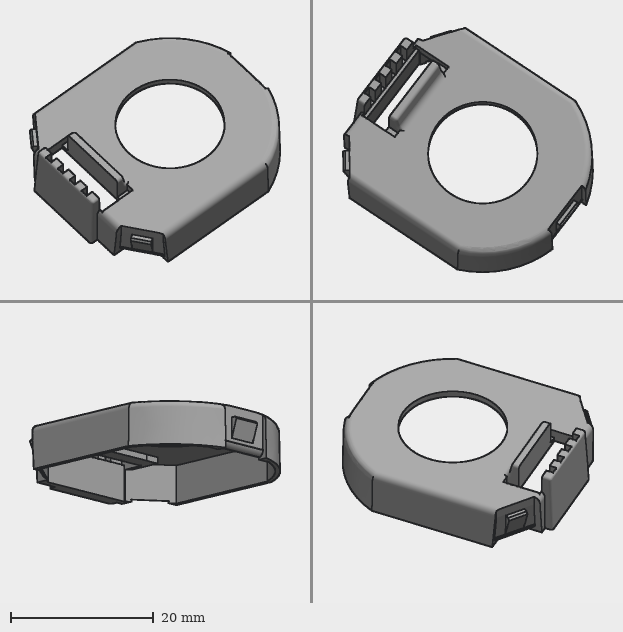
import cadquery as cq
import math

half_width = 14.3
arc_radius = 15.45
front_y = -17.7
body_height = 6.5
wall_draft = 1.3
top_round = 1.05
wall = 0.7
plate_thickness = 1.0
hole_diameter = 15.3
front_wall_inner_y = -16.5
clear = 30.0

flap_top_z = 5.1
side_end_y_top = -13.1
side_end_y_bottom = -12.72
flap_side_x = 13.7
flap_front_y = -16.65
front_end_x_top = 8.85
front_end_x_bottom = 8.5
flap_thickness = 0.9
flap_lean = 0.2

lip_reach = 0.12
lip_top_z = 1.27
lip_base_z = 0.32
lip_depth = 0.55
lip_bulge = 0.1

back_flap_y = 14.17
back_flap_half_width = 4.05

wedge_bottom_z = lip_top_z
wedge_bottom_reach = -flap_lean
wedge_edge_z = 4.6
wedge_top_z = 4.9
wedge_reach = 0.9
wedge_top_reach = 0.6
corner_wedge_width = 2.95
back_wedge_width = 4.2
wedge_root = 0.6

pin_pitch = 2.54
connector_x = -pin_pitch / 2
slot_half_width = 6.5
slot_rear_y = -13.25
recess_rear_y = -11.4
recess_floor_z = 5.25
frame_bottom_z = 4.6
frame_margin = 0.7

shroud_height = 9.0
shroud_rear_y = -17.05
shroud_front_y_bottom = -18.87
shroud_front_y_top = -18.4
shroud_half_width_bottom = 6.2
shroud_half_width_top = 5.87
shroud_round = 0.4
groove_count = 4
groove_width = 1.1
groove_depth = 1.05
groove_floor_z = 4.6

rear_wall_half_width = 5.33
rear_wall_top_y = -12.1
rear_wall_root_y = -11.65
rear_wall_root_z = 7.2
rear_wall_toe_y = -10.65
rear_wall_round = 0.5

corner_dx = flap_side_x - front_end_x_top
corner_dy = side_end_y_top - flap_front_y
corner_angle = math.degrees(math.atan2(corner_dy, corner_dx))
corner_mid_x = (flap_side_x + front_end_x_top) / 2
corner_mid_y = (side_end_y_top + flap_front_y) / 2


def block(x0, x1, y0, y1, z0, z1):
    """Box given by its limits along each axis."""
    return cq.Workplane("XY").box(x1 - x0, y1 - y0, z1 - z0, centered=False).translate((x0, y0, z0))


def mirrored(shape):
    """Shape together with its mirror image across the YZ plane."""
    return shape.union(shape.mirror("YZ"))


def arched_outline(half_x, radius, low_y):
    """Straight sides and front, closed at the back by an arc about the Z axis."""
    corner_y = math.sqrt(radius**2 - half_x**2)
    return (
        cq.Workplane("XY")
        .moveTo(-half_x, low_y)
        .lineTo(half_x, low_y)
        .lineTo(half_x, corner_y)
        .threePointArc((0, radius), (-half_x, corner_y))
        .close()
    )


def on_right_corner(shape):
    """Move a shape made at the origin, facing +Y, onto the right front corner flap."""
    return shape.rotate((0, 0, 0), (0, 0, 1), 180 + corner_angle).translate((corner_mid_x, corner_mid_y, 0))


def make_shell():
    """Drafted cap with a rounded top edge, hollow from below."""
    shell = arched_outline(half_width, arc_radius, front_y).extrude(body_height, taper=wall_draft)
    shell = shell.faces(">Z").edges().fillet(top_round)
    cavity_height = body_height - plate_thickness
    cavity = arched_outline(half_width - wall, arc_radius - wall, front_wall_inner_y).extrude(cavity_height)
    corner_fill = cq.Workplane("XY").box(clear, clear, cavity_height, centered=(True, False, False))
    corner_fill = on_right_corner(corner_fill.translate((0, -flap_thickness, 0)))
    back_fill = block(-clear, clear, back_flap_y - wall, clear, 0, cavity_height)
    return shell.cut(cavity.cut(mirrored(corner_fill)).cut(back_fill))


def corner_points(side_end_y, front_end_x):
    """Corner region outside a flap, between the ends of the side and front walls."""
    return [
        (clear, side_end_y),
        (flap_side_x, side_end_y),
        (front_end_x, flap_front_y),
        (front_end_x, -clear),
        (clear, -clear),
    ]


def make_corner_cut():
    """Right front corner: vertical above the flap, with wall ends receding below."""
    top_points = corner_points(side_end_y_top, front_end_x_top)
    upper = cq.Workplane("XY").workplane(offset=flap_top_z).polyline(top_points).close().extrude(body_height)
    lower = (
        cq.Workplane("XY")
        .polyline(corner_points(side_end_y_bottom, front_end_x_bottom))
        .close()
        .workplane(offset=flap_top_z)
        .polyline(top_points)
        .close()
        .loft(ruled=True)
    )
    return upper.union(lower)


def gap_section(height, side_end_y, front_end_x):
    """Rectangle at a height, bounded by the ends of the side and front walls."""
    middle_x = (flap_side_x + front_end_x) / 2
    middle_y = (side_end_y - clear) / 2
    plane = cq.Workplane("XY").workplane(offset=height).center(middle_x, middle_y)
    return plane.rect(flap_side_x - front_end_x, side_end_y + clear).wires().val()


def make_corner_gap():
    """Space between the receding ends of the side and front walls, below the flap top."""
    bottom = gap_section(0, side_end_y_bottom, front_end_x_bottom)
    top = gap_section(flap_top_z, side_end_y_top, front_end_x_top)
    return cq.Workplane("XY").newObject([cq.Solid.makeLoft([bottom, top], True)])


def make_lip():
    """Lip along the foot of a flap facing +Y, rounded from its outer edge to its base."""
    bend_y = (lip_reach - lip_depth) / 2 + lip_bulge
    bend_z = (lip_top_z + lip_base_z) / 2 - lip_bulge
    return (
        cq.Workplane("YZ")
        .moveTo(-lip_depth, lip_top_z)
        .lineTo(lip_reach, lip_top_z)
        .threePointArc((bend_y, bend_z), (-lip_depth, lip_base_z))
        .close()
        .extrude(clear, both=True)
    )


def make_foot_space():
    """Space to clear around and below the lip of a flap facing +Y."""
    space = block(-clear, clear, -flap_thickness, clear, 0, lip_top_z)
    return space.cut(block(-clear, clear, -flap_thickness, -lip_depth, lip_base_z, lip_top_z))


def make_wedge(width):
    """Snap wedge facing +Y, growing outward from bottom to top."""
    points = [
        (-wedge_root, wedge_bottom_z),
        (wedge_bottom_reach, wedge_bottom_z),
        (wedge_reach, wedge_edge_z),
        (wedge_top_reach, wedge_top_z),
        (-wedge_root, wedge_top_z),
    ]
    return cq.Workplane("YZ").polyline(points).close().extrude(width / 2, both=True)


def add_back_flap(body):
    """Form the flat back flap with its lip and snap wedge."""
    half = back_flap_half_width
    gap = block(-half, half, 0, clear, 0, body_height)
    offset = (0, back_flap_y, 0)
    body = body.cut(block(-half, half, back_flap_y, clear, 0, body_height))
    body = body.cut(make_foot_space().translate(offset).intersect(gap))
    body = body.union(make_lip().translate(offset).intersect(gap))
    return body.union(make_wedge(back_wedge_width).translate(offset))


def add_corner_flaps(body):
    """Form the two corner flaps, each with its lip and snap wedge."""
    gap = make_corner_gap()
    foot_offset = (0, -flap_lean, 0)
    foot_space = on_right_corner(make_foot_space().translate(foot_offset)).intersect(gap)
    lip = on_right_corner(make_lip().translate(foot_offset)).intersect(gap)
    body = body.cut(mirrored(make_corner_cut())).cut(mirrored(foot_space))
    body = body.union(mirrored(lip))
    return body.union(mirrored(on_right_corner(make_wedge(corner_wedge_width))))


def cut_connector_opening(body):
    """Stepped opening: a shallow recess with a smaller slot through it, framed from below."""
    left = connector_x - slot_half_width
    right = connector_x + slot_half_width
    frame_left = left - frame_margin
    frame_right = right + frame_margin
    frame_rear = recess_rear_y + frame_margin
    frame = block(frame_left, frame_right, front_wall_inner_y, frame_rear, frame_bottom_z, recess_floor_z + wall)
    body = body.union(frame)
    body = body.cut(block(left, right, shroud_rear_y, recess_rear_y, recess_floor_z, shroud_height))
    return body.cut(block(left, right, front_wall_inner_y, slot_rear_y, 0, shroud_height))


def shroud_section(height, half_x, low_y):
    """Rectangular section of the connector front wall at a height."""
    depth = shroud_rear_y - low_y
    middle = (shroud_rear_y + low_y) / 2
    return cq.Workplane("XY").workplane(offset=height).center(connector_x, middle).rect(2 * half_x, depth)


def make_shroud():
    """Tapered front wall of the connector, rounded along its outer edges."""
    bottom = shroud_section(0, shroud_half_width_bottom, shroud_front_y_bottom)
    top = shroud_section(shroud_height, shroud_half_width_top, shroud_front_y_top)
    solid = cq.Solid.makeLoft([bottom.wires().val(), top.wires().val()], True)
    shroud = cq.Workplane("XY").newObject([solid])
    return shroud.edges("not(<Z or >Y)").fillet(shroud_round)


def cut_grooves(body):
    """Row of vertical grooves in the inner face of the connector front wall."""
    for index in range(groove_count):
        x = connector_x + (index - (groove_count - 1) / 2) * pin_pitch
        left = x - groove_width / 2
        right = x + groove_width / 2
        rear = shroud_rear_y
        body = body.cut(block(left, right, rear - groove_depth, rear, groove_floor_z, shroud_height))
    return body


def make_rear_wall():
    """Rear wall of the connector: sloped back blending into the top plate."""
    run = rear_wall_toe_y - rear_wall_root_y
    rise = rear_wall_root_z - body_height
    radius = (run**2 + rise**2) / (2 * rise)
    half_angle = math.atan2(rise, run)
    mid_y = rear_wall_toe_y - radius * math.sin(half_angle)
    mid_z = body_height + radius * (1 - math.cos(half_angle))
    wall_body = (
        cq.Workplane("YZ")
        .moveTo(slot_rear_y, frame_bottom_z)
        .lineTo(slot_rear_y, shroud_height)
        .lineTo(rear_wall_top_y, shroud_height)
        .lineTo(rear_wall_root_y, rear_wall_root_z)
        .threePointArc((mid_y, mid_z), (rear_wall_toe_y, body_height))
        .lineTo(rear_wall_toe_y, frame_bottom_z)
        .close()
        .extrude(rear_wall_half_width, both=True)
    )
    behind_slot = cq.selectors.BoxSelector(
        (-clear, slot_rear_y + rear_wall_round, 0),
        (clear, clear, clear),
    )
    side_edges = wall_body.faces("<X or >X").edges("not <Z").edges(behind_slot)
    top_edge = wall_body.faces(">Z").edges(">Y")
    rounded_edges = side_edges.vals() + top_edge.vals()
    wall_body = wall_body.newObject([wall_body.val().fillet(rear_wall_round, rounded_edges)])
    return wall_body.translate((connector_x, 0, 0))


body = add_back_flap(make_shell())
body = add_corner_flaps(body)
body = body.cut(cq.Workplane("XY").circle(hole_diameter / 2).extrude(shroud_height))
body = cut_connector_opening(body)
body = body.union(make_rear_wall())
body = body.union(make_shroud())
result = cut_grooves(body)